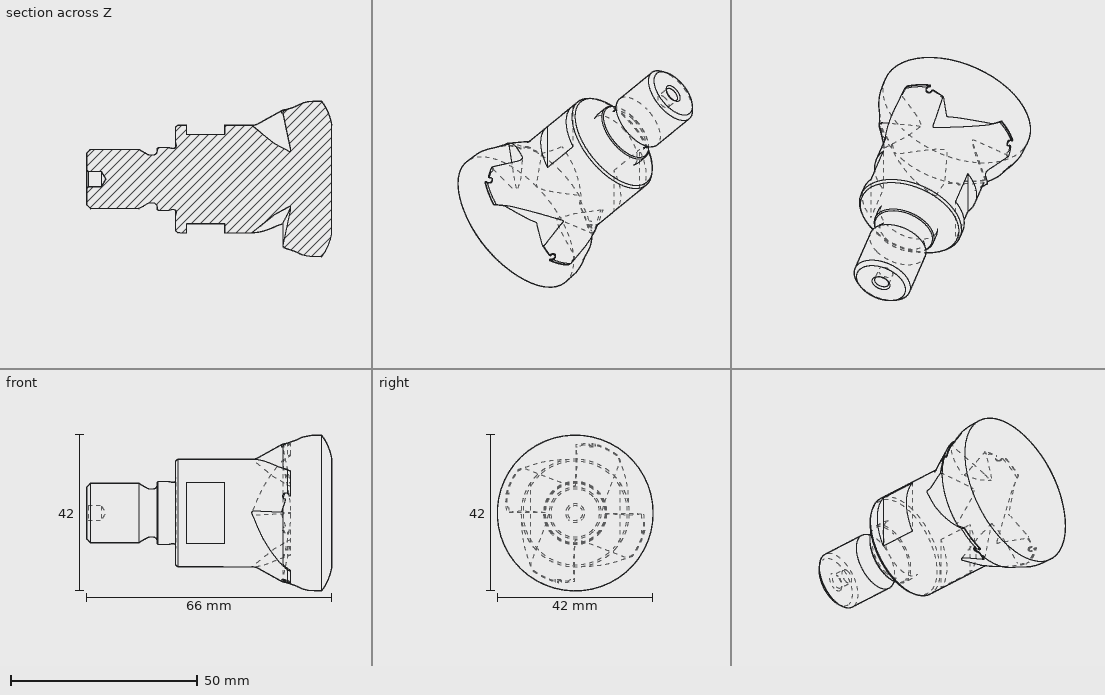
import cadquery as cq
import math


LENGTH = 65.95
RIM_RADIUS = 41.95 / 2

SHANK_RADIUS = 16.0 / 2
SHANK_CHAMFER = 1.05
SHANK_END = 14.05
NECK_RADIUS = 13.0 / 2
NECK_TAPER_ANGLE = 30.0
NECK_BLEND_LENGTH = 0.6
NECK_FILLET = 1.05
COLLAR_START = 18.9
COLLAR_RADIUS = 17.0 / 2
COLLAR_CHAMFER = 0.3
COLLAR_TAPER_START = 21.95
COLLAR_TAPER_END = 23.0
COLLAR_ROOT_RADIUS = 16.55 / 2
COLLAR_ROOT_END = 23.35

BODY_START = 23.9
BODY_RADIUS = 29.0 / 2
BODY_CHAMFER_LENGTH = 0.65
BODY_CHAMFER_HEIGHT = 0.5
GROOVE_RADIUS = 19.6 / 2
GROOVE_FILLET = 0.7

FLAT_START = 26.9
FLAT_LENGTH = 10.2
FLAT_ACROSS = 24.0

HOLE_RADIUS = 4.0 / 2
HOLE_MOUTH_RADIUS = 5.1 / 2
HOLE_DEPTH = 3.95
DRILL_POINT_ANGLE = 118.0

FLARE_BLEND_START = 44.65
FLARE_BLEND_LENGTH = 1.4
FLARE_ANGLE = 29.0
FLARE_END = 54.0
SEAT_END = 54.8

RIM_BACK = 52.75
RIM_BACK_RADIUS = 17.6
HOLLOW_DEPTH = 2.0
HOLLOW_RADIUS = 8.25
SHOULDER_POINTS = [(54.8, 19.05), (58.2, 20.5)]
RIM_CREST_END = 63.2
DOME_MID = (65.0, 17.75)
FRONT_FACE_RADIUS = 14.5

POCKET_COUNT = 4
POCKET_START = 44.2
FLOOR_BREAK = 50.4
FLOOR_BREAK_RADIUS = 9.5
FLOOR_END = 55.05
FLOOR_END_RADIUS = 6.85
POCKET_TOP_RADIUS = 23.75
POCKET_WIDTH = 19.8
WALL_SETBACK = 0.6
WALL_SKEW_ANGLE = 2.6
WALL_ROOT_FILLET = 0.45
POSITION_TOLERANCE = 0.005
FLOOR_RISE_ANGLE = 12.5
FLOOR_SKEW_ANGLE = 5.0

RELIEF_START = 52.3
RELIEF_SLANT_END = (53.35, 3.1)
NOTCH_CENTER = (53.55, 4.55)
NOTCH_RADIUS = 0.85
RELIEF_FLOOR_RADIUS = 17.8
RELIEF_HEIGHT = 6.6


def revolve_about_x(outline):
    return outline.close().revolve(360, (0, 0, 0), (1, 0, 0))


def make_body():
    """Shank, neck, collar, cylindrical body and flare in one revolved outline."""
    taper_end_radius = NECK_RADIUS + NECK_BLEND_LENGTH * math.tan(math.radians(NECK_TAPER_ANGLE / 2))
    taper_length = (SHANK_RADIUS - taper_end_radius) / math.tan(math.radians(NECK_TAPER_ANGLE))
    taper_end = SHANK_END + taper_length
    blend_rise = FLARE_BLEND_LENGTH * math.tan(math.radians(FLARE_ANGLE / 2))
    blend_end = FLARE_BLEND_START + FLARE_BLEND_LENGTH
    blend_radius = BODY_RADIUS + blend_rise
    seat_radius = blend_radius + (FLARE_END - blend_end) * math.tan(math.radians(FLARE_ANGLE))
    outline = (
        cq.Workplane("XY")
        .moveTo(0, 0)
        .lineTo(0, SHANK_RADIUS - SHANK_CHAMFER)
        .lineTo(SHANK_CHAMFER, SHANK_RADIUS)
        .lineTo(SHANK_END, SHANK_RADIUS)
        .lineTo(taper_end, taper_end_radius)
        .tangentArcPoint((taper_end + NECK_BLEND_LENGTH, NECK_RADIUS), relative=False)
        .lineTo(COLLAR_START - NECK_FILLET, NECK_RADIUS)
        .tangentArcPoint((NECK_FILLET, NECK_FILLET))
        .lineTo(COLLAR_START, COLLAR_RADIUS - COLLAR_CHAMFER)
        .lineTo(COLLAR_START + COLLAR_CHAMFER, COLLAR_RADIUS)
        .lineTo(COLLAR_TAPER_START, COLLAR_RADIUS)
        .lineTo(COLLAR_TAPER_END, COLLAR_ROOT_RADIUS)
        .lineTo(COLLAR_ROOT_END, COLLAR_ROOT_RADIUS)
        .tangentArcPoint((GROOVE_FILLET, GROOVE_FILLET))
        .lineTo(BODY_START, GROOVE_RADIUS)
        .lineTo(BODY_START, BODY_RADIUS - BODY_CHAMFER_HEIGHT)
        .lineTo(BODY_START + BODY_CHAMFER_LENGTH, BODY_RADIUS)
        .lineTo(FLARE_BLEND_START, BODY_RADIUS)
        .tangentArcPoint((blend_end, blend_radius), relative=False)
        .lineTo(FLARE_END, seat_radius)
        .lineTo(SEAT_END, seat_radius)
        .lineTo(SEAT_END, 0)
    )
    return revolve_about_x(outline)


def make_rim():
    """Cutting rim ahead of the flare, hollowed toward the axis at its back."""
    outline = (
        cq.Workplane("XY")
        .moveTo(RIM_BACK + HOLLOW_DEPTH, 0)
        .lineTo(RIM_BACK + HOLLOW_DEPTH, HOLLOW_RADIUS)
        .lineTo(RIM_BACK, RIM_BACK_RADIUS)
        .spline(
            [*SHOULDER_POINTS, (RIM_CREST_END, RIM_RADIUS)],
            tangents=[(-HOLLOW_DEPTH, RIM_BACK_RADIUS - HOLLOW_RADIUS), (1, 0)],
            includeCurrent=True,
        )
        .threePointArc(DOME_MID, (LENGTH, FRONT_FACE_RADIUS))
        .lineTo(LENGTH, 0)
    )
    return revolve_about_x(outline)


def make_pocket():
    """Pocket on the -Y side of a nearly radial wall; its floor rises away from the wall."""

    def wall_point(x, radius):
        setback = WALL_SETBACK - (x - POCKET_START) * math.tan(math.radians(WALL_SKEW_ANGLE))
        return cq.Vector(x, setback, radius)

    floor_points = [
        wall_point(POCKET_START, BODY_RADIUS),
        wall_point(FLOOR_BREAK, FLOOR_BREAK_RADIUS),
        wall_point(FLOOR_END, FLOOR_END_RADIUS),
    ]
    top_points = [wall_point(FLOOR_END, POCKET_TOP_RADIUS), wall_point(POCKET_START, POCKET_TOP_RADIUS)]
    wall = cq.Wire.makePolygon(floor_points + top_points, close=True)
    sweep = cq.Vector(
        POCKET_WIDTH * math.tan(math.radians(FLOOR_SKEW_ANGLE)),
        -POCKET_WIDTH,
        POCKET_WIDTH * math.tan(math.radians(FLOOR_RISE_ANGLE)),
    )
    pocket = cq.Solid.extrudeLinear(wall, [], sweep)
    root_middles = [(start + end) * 0.5 for start, end in zip(floor_points, floor_points[1:])]
    wall_roots = [
        edge
        for edge in pocket.Edges()
        if any((edge.Center() - middle).Length < POSITION_TOLERANCE for middle in root_middles)
    ]
    return cq.Workplane(pocket.fillet(WALL_ROOT_FILLET, wall_roots))


def make_seat_relief():
    """Slanted corner cut and round notch at the seat edge, on the +Y side of the wall."""
    base = cq.Workplane("XY", origin=(0, 0, RELIEF_FLOOR_RADIUS))
    corner = (
        base.moveTo(RELIEF_START, 0)
        .lineTo(*RELIEF_SLANT_END)
        .lineTo(*NOTCH_CENTER)
        .lineTo(SEAT_END, NOTCH_CENTER[1])
        .lineTo(SEAT_END, 0)
        .close()
        .extrude(RELIEF_HEIGHT)
    )
    notch = base.center(*NOTCH_CENTER).circle(NOTCH_RADIUS).extrude(RELIEF_HEIGHT)
    return corner.union(notch)


def make_center_hole():
    """Chamfered blind hole with a drill point."""
    mouth_depth = HOLE_MOUTH_RADIUS - HOLE_RADIUS
    point_length = HOLE_RADIUS / math.tan(math.radians(DRILL_POINT_ANGLE / 2))
    outline = (
        cq.Workplane("XY")
        .moveTo(0, 0)
        .lineTo(0, HOLE_MOUTH_RADIUS)
        .lineTo(mouth_depth, HOLE_RADIUS)
        .lineTo(HOLE_DEPTH, HOLE_RADIUS)
        .lineTo(HOLE_DEPTH + point_length, 0)
    )
    return revolve_about_x(outline)


def make_flat_cut(side):
    """Block that mills one wrench flat on the +Y or -Y side."""
    cut_depth = BODY_RADIUS
    return cq.Workplane("XY").box(FLAT_LENGTH, cut_depth, 2 * BODY_RADIUS).translate(
        (FLAT_START + FLAT_LENGTH / 2, side * (FLAT_ACROSS + cut_depth) / 2, 0)
    )


result = make_body().cut(make_center_hole())

for side in (1, -1):
    result = result.cut(make_flat_cut(side))

pocket_cut = make_pocket().union(make_seat_relief())
for index in range(POCKET_COUNT):
    angle = index * 360 / POCKET_COUNT
    result = result.cut(pocket_cut.rotate((0, 0, 0), (1, 0, 0), angle))

result = result.union(make_rim())